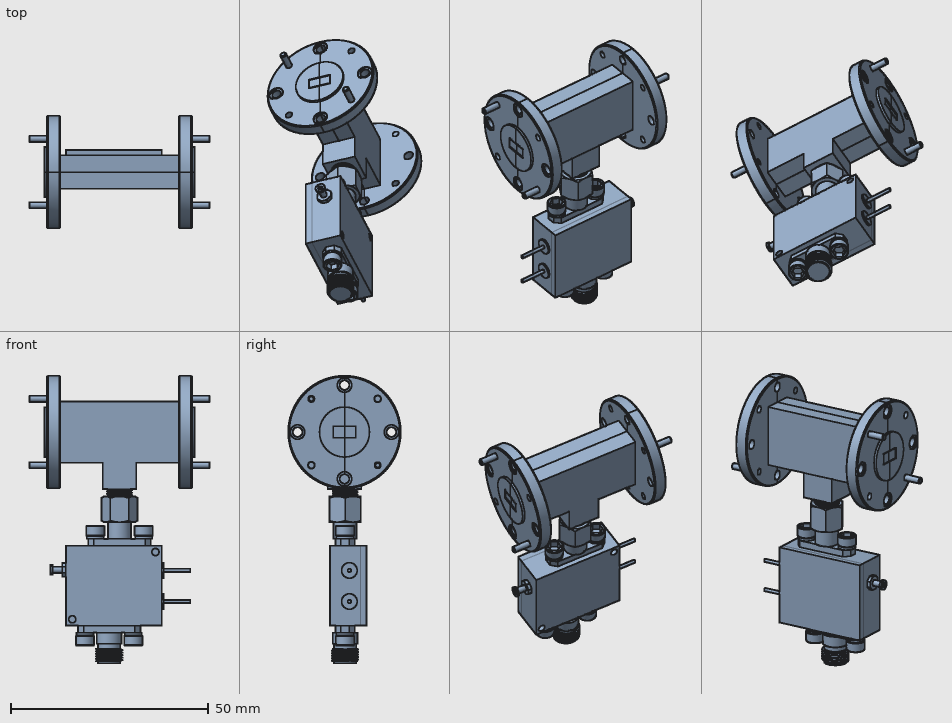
import cadquery as cq
import math


block_height = 15.6
block_width = 8.6
stub_bottom = -14.4
flange_diameter = 28.6
flange_inner_x = 15.0
flange_outer_x = 18.35
flange_chamfer = 0.3
boss_diameter = 12.7
boss_end_x = 19.0
port_width = 5.7
port_height = 2.85
port_depth = 0.3
bolt_circle_radius = 11.9
screw_hole_diameter = 2.4
counterbore_diameter = 3.65
counterbore_depth = 0.4

dowel_diameter = 1.6
dowel_span = 45.8
dowel_end_x = dowel_span / 2
dowel_chamfer = 0.2
dowel_clearance_diameter = 1.75

housing_left = -13.55
housing_right = 10.7
housing_top = -28.8
housing_bottom = -49.05
housing_front = -3.7
lid_seam_y = 4.0
housing_back = 5.6
corner_hole_diameter = 1.8
corner_hole_inset = 1.6

connector_y = 0.15
input_x = 0
output_x = -2.6
connector_flange_length = 15.9
connector_flange_width = 4.95
connector_flange_thickness = 1.75
connector_flange_cut_x = 1.45
connector_flange_cut_y = 1.4
screw_spacing = 12.25
washer_diameter = 4.4
washer_thickness = 0.65
head_diameter = 4.7
head_height = 2.7
head_chamfer = 0.2
socket_across_corners = 3.35
socket_depth = 1.8
socket_turn = 30

thread_pitch = 0.635
thread_core_diameter = 5.7
thread_overlap = 0.1
thread_ridge_base = 0.6
input_thread_diameter = 6.35
nut_top = -16.3
nut_bottom = -22.8
nut_across_corners = 9.2
nut_chamfer_angle = 30
sleeve_diameter = 5.9
output_collar_diameter = 6.35
output_collar_end = -53.6
output_thread_diameter = 6.8
output_thread_top = -54.9
output_thread_bottom = -58.1
output_end = -58.6

ground_y = 0.4
ground_z = -34.9
ground_base_across_flats = 3.6
ground_base_sides = 8
ground_base_length = 0.95
ground_post_diameter = 1.6
ground_cap_x = -16.9
ground_cap_diameter = 2.5
ground_cap_thickness = 0.6
ground_hole_diameter = 1.1
ground_hole_depth = 0.4
lead_y = 1.25
lead_heights = (-35.05, -42.9)
lead_disc_diameter = 3.9
lead_disc_thickness = 0.45
lead_diameter = 0.9
lead_end_x = 17.9


def rod_x(x_start, x_end, diameter, y=0.0, z=0.0):
    """Cylinder along X between two X positions."""
    return cq.Workplane("YZ", origin=(x_start, y, z)).circle(diameter / 2).extrude(x_end - x_start)


def rod_z(z_start, z_end, diameter, x=0.0, y=0.0):
    """Cylinder along Z between two Z positions."""
    return cq.Workplane("XY", origin=(x, y, z_start)).circle(diameter / 2).extrude(z_end - z_start)


def box_between(x_range, y_range, z_range):
    """Box given by its limits on each axis."""
    lengths = [high - low for low, high in (x_range, y_range, z_range)]
    corner = (x_range[0], y_range[0], z_range[0])
    return cq.Workplane("XY").box(*lengths, centered=False).translate(corner)


def bolt_circle_point(angle):
    """Y and Z of a place on the flange bolt circle, the angle measured from +Y toward +Z."""
    turn = math.radians(angle)
    return bolt_circle_radius * math.cos(turn), bolt_circle_radius * math.sin(turn)


def dowel_angles(side):
    """Bolt circle angles of the two dowels pressed into the flange on one side (-1 left, +1 right)."""
    return (45, 225) if side < 0 else (135, 315)


def flange(side):
    """Round flange with its raised boss, port recess, screw holes and dowel holes."""
    inner_x = side * flange_inner_x
    outer_x = side * flange_outer_x
    disc = rod_x(inner_x, outer_x, flange_diameter).edges().chamfer(flange_chamfer)
    disc = disc.union(rod_x(outer_x, side * boss_end_x, boss_diameter))
    for angle in (0, 90, 180, 270):
        y, z = bolt_circle_point(angle)
        disc = disc.cut(rod_x(inner_x, outer_x, screw_hole_diameter, y, z))
        floor_x = side * (flange_outer_x - counterbore_depth)
        disc = disc.cut(rod_x(floor_x, outer_x, counterbore_diameter, y, z))
    for angle in dowel_angles(side):
        y, z = bolt_circle_point(angle)
        disc = disc.cut(rod_x(inner_x, outer_x, dowel_diameter, y, z))
    for angle in dowel_angles(-side):
        y, z = bolt_circle_point(angle)
        disc = disc.cut(rod_x(inner_x, outer_x, dowel_clearance_diameter, y, z))
    port_centre_x = side * (boss_end_x - port_depth / 2)
    port = cq.Workplane("XY").box(port_depth, port_width, port_height)
    return disc.cut(port.translate((port_centre_x, 0, 0)))


def channel_half(y_side):
    """Block and flanges on the -Y or the +Y side of the seam plane Y = 0."""
    block = cq.Workplane("XY").box(2 * flange_inner_x, block_width, block_height)
    for side in (-1, 1):
        block = block.union(flange(side))
    half_space = cq.Workplane("XY").box(2 * boss_end_x, flange_diameter, 2 * flange_diameter)
    return block.intersect(half_space.translate((0, y_side * flange_diameter / 2, 0)))


def front_half():
    """Half block on the -Y side, carrying the full-width stub and the thread below it."""
    stub_range = (-block_width / 2, block_width / 2)
    stub = box_between(stub_range, stub_range, (stub_bottom, -block_height / 2))
    thread = threaded_rod(nut_top, stub_bottom, input_thread_diameter, input_x)
    return channel_half(-1).union(stub).union(thread)


def back_half():
    """Plain half block on the +Y side."""
    return channel_half(1)


def dowel(side, angle):
    """Alignment pin, flush with the inner face of its flange and chamfered at its free end."""
    y, z = bolt_circle_point(angle)
    pin = rod_x(side * flange_inner_x, side * dowel_end_x, dowel_diameter, y, z)
    return pin.faces(">X" if side > 0 else "<X").chamfer(dowel_chamfer)


def threaded_rod(z_bottom, z_top, diameter, x):
    """Threaded rod along Z: a core with a helical V ridge cut off square at both ends."""
    root_radius = thread_core_diameter / 2 - thread_overlap
    full_height = z_top - z_bottom + 2 * thread_pitch
    helix = cq.Wire.makeHelix(thread_pitch, full_height - thread_pitch, root_radius)
    ridge = (
        cq.Workplane("XZ", origin=(root_radius, 0, 0))
        .moveTo(0, -thread_ridge_base / 2)
        .lineTo(diameter / 2 - root_radius, 0)
        .lineTo(0, thread_ridge_base / 2)
        .close()
        .sweep(cq.Workplane(helix), isFrenet=True)
        .translate((0, 0, thread_pitch / 2))
    )
    rod = rod_z(0, full_height, thread_core_diameter).union(ridge)
    rod = rod.intersect(rod_z(thread_pitch, full_height - thread_pitch, 2 * diameter))
    return rod.translate((x, connector_y, z_bottom - thread_pitch))


def coupling_nut():
    """Hexagonal coupling nut with both ends chamfered down to the width across its flats."""
    height = nut_top - nut_bottom
    corner_radius = nut_across_corners / 2
    flat_radius = corner_radius * math.cos(math.radians(180 / 6))
    drop = (corner_radius - flat_radius) * math.tan(math.radians(nut_chamfer_angle))
    hexagon = cq.Workplane("XY").polygon(6, nut_across_corners).extrude(height)
    envelope = (
        cq.Workplane("XZ")
        .polyline([
            (0, 0),
            (flat_radius, 0),
            (corner_radius, drop),
            (corner_radius, height - drop),
            (flat_radius, height),
            (0, height),
        ])
        .close()
        .revolve(360, (0, 0), (0, 1))
    )
    return hexagon.intersect(envelope).translate((input_x, connector_y, nut_bottom))


def cap_screw(x, z_seat, direction):
    """Washer and socket head standing on a seat, pointing up (+1) or down (-1)."""
    socket_floor = washer_thickness + head_height - socket_depth
    head = rod_z(washer_thickness, washer_thickness + head_height, head_diameter)
    head = head.edges().chamfer(head_chamfer)
    socket = cq.Workplane("XY", origin=(0, 0, socket_floor)).polygon(6, socket_across_corners)
    socket = socket.extrude(socket_depth).rotate((0, 0, 0), (0, 0, 1), socket_turn)
    screw = rod_z(0, washer_thickness, washer_diameter).union(head).cut(socket)
    if direction < 0:
        screw = screw.mirror("XY")
    return screw.translate((x, connector_y, z_seat))


def connector_flange(x, z_face, direction):
    """Eight-sided flange on a housing face, with a cap screw at each end."""
    half_length = connector_flange_length / 2
    half_width = connector_flange_width / 2
    inner_x = half_length - connector_flange_cut_x
    inner_y = half_width - connector_flange_cut_y
    corners = [
        (half_length, inner_y),
        (inner_x, half_width),
        (-inner_x, half_width),
        (-half_length, inner_y),
        (-half_length, -inner_y),
        (-inner_x, -half_width),
        (inner_x, -half_width),
        (half_length, -inner_y),
    ]
    thickness = direction * connector_flange_thickness
    plate = cq.Workplane("XY", origin=(x, connector_y, z_face)).polyline(corners).close().extrude(thickness)
    for end in (-1, 1):
        plate = plate.union(cap_screw(x + end * screw_spacing / 2, z_face + thickness, direction))
    return plate


def input_connector():
    """Upper connector: flange, sleeve and the coupling nut that meets the thread of the stub."""
    sleeve_bottom = housing_top + connector_flange_thickness
    sleeve = rod_z(sleeve_bottom, nut_bottom, sleeve_diameter, input_x, connector_y)
    return connector_flange(input_x, housing_top, 1).union(sleeve).union(coupling_nut())


def output_connector():
    """Lower connector: flange, collar and a threaded end."""
    collar_top = housing_bottom - connector_flange_thickness
    collar = rod_z(output_collar_end, collar_top, output_collar_diameter, output_x, connector_y)
    neck = rod_z(output_end, output_collar_end, thread_core_diameter, output_x, connector_y)
    thread = threaded_rod(output_thread_bottom, output_thread_top, output_thread_diameter, output_x)
    return connector_flange(output_x, housing_bottom, -1).union(collar).union(neck).union(thread)


def ground_terminal():
    """Grounding post on the -X face: eight-sided base, post and capped end with a centre hole."""
    base_x = housing_left - ground_base_length
    cap_end_x = ground_cap_x - ground_cap_thickness
    half_side_angle = 180 / ground_base_sides
    across_corners = ground_base_across_flats / math.cos(math.radians(half_side_angle))
    base = (
        cq.Workplane("YZ", origin=(base_x, ground_y, ground_z))
        .transformed(rotate=(0, 0, half_side_angle))
        .polygon(ground_base_sides, across_corners)
        .extrude(ground_base_length)
    )
    post = rod_x(ground_cap_x, base_x, ground_post_diameter, ground_y, ground_z)
    cap = rod_x(cap_end_x, ground_cap_x, ground_cap_diameter, ground_y, ground_z)
    hole = rod_x(cap_end_x, cap_end_x + ground_hole_depth, ground_hole_diameter, ground_y, ground_z)
    return base.union(post).union(cap).cut(hole)


def lead_terminal(z):
    """Wire lead on the +X face, standing on a thin disc."""
    disc = rod_x(housing_right, housing_right + lead_disc_thickness, lead_disc_diameter, lead_y, z)
    return disc.union(rod_x(housing_right, lead_end_x, lead_diameter, lead_y, z))


def amplifier_body():
    """Amplifier as one solid: housing with its back cover, connectors and terminals."""
    x_range = (housing_left, housing_right)
    z_range = (housing_bottom, housing_top)
    case = box_between(x_range, (housing_front, lid_seam_y), z_range)
    corner_holes = [
        (housing_right - corner_hole_inset, housing_top - corner_hole_inset),
        (housing_left + corner_hole_inset, housing_bottom + corner_hole_inset),
    ]
    for x, z in corner_holes:
        hole = cq.Workplane("XZ", origin=(x, housing_front, z)).circle(corner_hole_diameter / 2)
        case = case.cut(hole.extrude(housing_front - lid_seam_y))
    body = case.union(input_connector()).union(output_connector()).union(ground_terminal())
    for z in lead_heights:
        body = body.union(lead_terminal(z))
    cover = box_between(x_range, (lid_seam_y, housing_back), z_range)
    return body.union(cover, clean=False)


waveguide_front = front_half()
waveguide_back = back_half()
dowels = [dowel(side, angle) for side in (-1, 1) for angle in dowel_angles(side)]
amplifier = amplifier_body()

result = cq.Compound.makeCompound([
    *waveguide_front.solids().vals(),
    *waveguide_back.solids().vals(),
    *[pin.solids().val() for pin in dowels],
    *amplifier.solids().vals(),
])